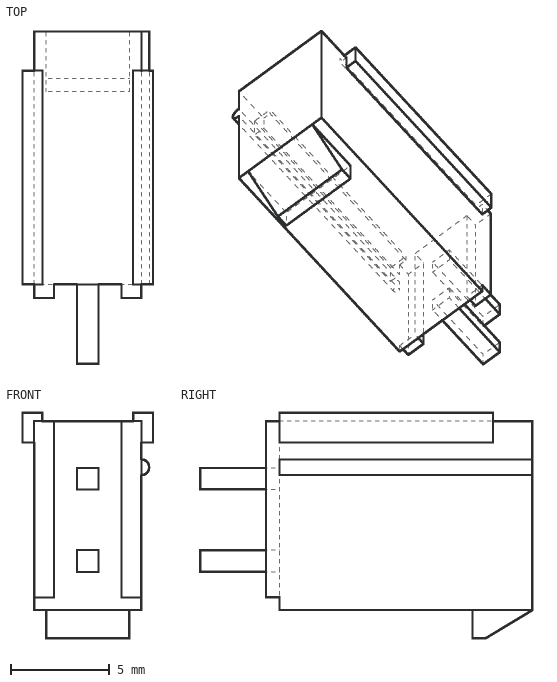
import cadquery as cq

total_length = 16.8
body_width = 5.41
body_height = 9.56
body_length = 12.78
back_y = total_length / 2
body_front_y = back_y - body_length

flange_thickness = 1.0
flange_length = 0.69
flange_bottom_z = 0.65
flange_front_y = body_front_y - flange_length

rail_width = 1.0
rail_height = 1.51
rail_rise = 0.42
rail_overall_width = 6.6
rail_back_setback = 1.98

pin_size = 1.1
pin_pitch = 4.17
lower_pin_z = 2.49
pin_front_y = -total_length / 2

latch_width = 4.2
latch_depth = 1.43
latch_length = 3.04
latch_ramp_length = 2.37

rib_radius = 0.4
rib_center_z = 7.22


def block(x_min, x_max, y_min, y_max, z_min, z_max):
    """Axis-aligned box between two limits on each axis."""
    size = (x_max - x_min, y_max - y_min, z_max - z_min)
    return cq.Workplane("XY").box(*size, centered=False).translate((x_min, y_min, z_min))


def make_latch():
    """Wedge that ramps down from the back edge to a short flat catch."""
    return (
        cq.Workplane("YZ")
        .moveTo(back_y, 0)
        .lineTo(back_y - latch_ramp_length, -latch_depth)
        .lineTo(back_y - latch_length, -latch_depth)
        .lineTo(back_y - latch_length, 0)
        .close()
        .extrude(latch_width / 2, both=True)
    )


def make_rib():
    """Rod half sunk into the +X wall, running the length of the body."""
    return (
        cq.Workplane("XZ", origin=(body_width / 2, back_y, rib_center_z))
        .circle(rib_radius)
        .extrude(body_length)
    )


half_body = body_width / 2
half_rails = rail_overall_width / 2
rail_top_z = body_height + rail_rise

result = block(-half_body, half_body, body_front_y, back_y, 0, body_height)
result = result.union(make_latch()).union(make_rib())

flange = block(
    -half_body, -half_body + flange_thickness,
    flange_front_y, body_front_y,
    flange_bottom_z, body_height,
)
rail = block(
    -half_rails, -half_rails + rail_width,
    body_front_y, back_y - rail_back_setback,
    rail_top_z - rail_height, rail_top_z,
)
for side_part in (flange, rail):
    result = result.union(side_part).union(side_part.mirror("YZ"))

for pin_z in (lower_pin_z, lower_pin_z + pin_pitch):
    pin = block(
        -pin_size / 2, pin_size / 2,
        pin_front_y, body_front_y,
        pin_z - pin_size / 2, pin_z + pin_size / 2,
    )
    result = result.union(pin)